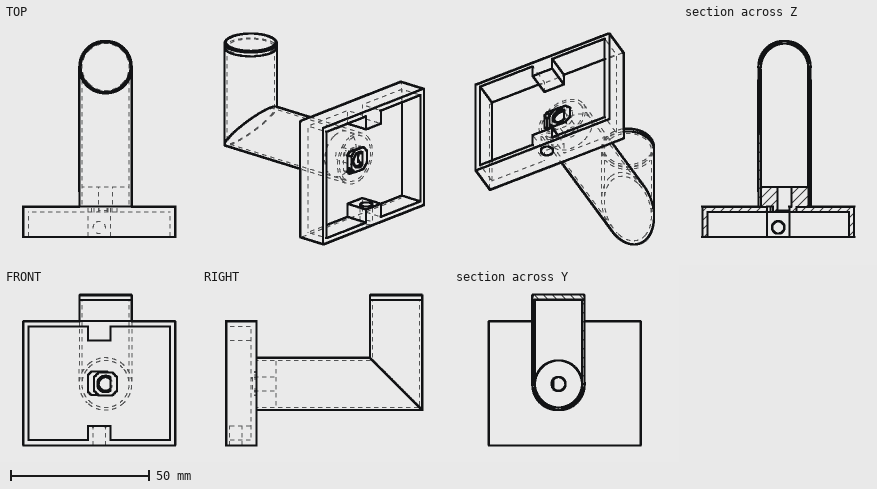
import cadquery as cq

base_width = 55.0
base_depth = 11.0
base_height = 45.0
edge_radius = 0.35
rim = 2.0
plate_thickness = 2.0
pocket_depth = base_depth - plate_thickness
base_mid_x = base_width / 2
base_mid_z = base_height / 2

lug_width = 8.0
lug_height = 5.05
screw_hole_diameter = 4.4
screw_hole_y = 3.5

opening_width = lug_width
opening_height = 8.45
opening_chamfer = 1.15
opening_right_x = base_mid_x + opening_width / 2

tube_radius = 9.5
bore_radius = 8.5
axis_shift_x = 2.3
axis_drop_z = 0.2
axis_x = base_mid_x + axis_shift_x
axis_z = base_mid_z - axis_drop_z
total_depth = 71.0
total_height = 54.75
post_y = total_depth - tube_radius

cap_thickness = 2.0
cap_chamfer = 0.5
post_top = total_height - cap_thickness

plug_length = 7.1
key_size = 8.45
key_chamfer = 1.85
thread_hole_radius = 2.5
countersink = 0.5


def box(x_min, x_max, y_min, y_max, z_min, z_max):
    """Box between the given limits."""
    size = (x_max - x_min, y_max - y_min, z_max - z_min)
    return cq.Workplane().box(*size, centered=False).translate((x_min, y_min, z_min))


def rod_along_y(radius, y_min, y_max):
    """Cylinder on the arm axis."""
    return cq.Workplane(cq.Solid.makeCylinder(
        radius, y_max - y_min, cq.Vector(axis_x, y_min, axis_z), cq.Vector(0, 1, 0)))


def rod_along_z(radius, z_min, z_max):
    """Cylinder on the post axis."""
    return cq.Workplane(cq.Solid.makeCylinder(
        radius, z_max - z_min, cq.Vector(axis_x, post_y, z_min), cq.Vector(0, 0, 1)))


def chamfered_bar(mid_x, mid_z, width, height, chamfer):
    """Bar with chamfered corners, as deep as the plate and lying inside it."""
    bar = box(mid_x - width / 2, mid_x + width / 2, pocket_depth, base_depth,
              mid_z - height / 2, mid_z + height / 2)
    return bar.edges("|Y").chamfer(chamfer)


def key_bar():
    """Square key of the plug, which is also its seat in the plate."""
    return chamfered_bar(axis_x, axis_z, key_size, key_size, key_chamfer)


def make_base():
    base = box(0, base_width, 0, base_depth, 0, base_height).edges("|Y").fillet(edge_radius)
    base = base.cut(box(rim, base_width - rim, 0, pocket_depth, rim, base_height - rim))

    lug_left = base_mid_x - lug_width / 2
    lug_right = base_mid_x + lug_width / 2
    for lug_bottom in (rim, base_height - rim - lug_height):
        base = base.union(box(lug_left, lug_right, 0, pocket_depth, lug_bottom, lug_bottom + lug_height))

    screw_hole = cq.Workplane(cq.Solid.makeCylinder(
        screw_hole_diameter / 2, rim + lug_height, cq.Vector(base_mid_x, screw_hole_y, 0)))
    opening = chamfered_bar(base_mid_x, base_mid_z, opening_width, opening_height, opening_chamfer)
    return base.cut(screw_hole).cut(opening).cut(key_bar())


def miter_wedge():
    """Prism on the post side of the 45 degree plane through the meeting point of both axes."""
    low_y, low_z = total_depth, axis_z - tube_radius
    rise = total_height - low_z
    return (
        cq.Workplane("YZ", origin=(axis_x - tube_radius, 0, 0))
        .polyline([(low_y, low_z), (low_y, low_z + rise), (low_y - rise, low_z + rise)])
        .close()
        .extrude(2 * tube_radius)
    )


def make_arm():
    tube = rod_along_y(tube_radius, base_depth, total_depth)
    tube = tube.cut(rod_along_y(bore_radius, base_depth, total_depth))
    return tube.cut(miter_wedge())


def make_post():
    bottom = axis_z - tube_radius
    tube = rod_along_z(tube_radius, bottom, post_top)
    tube = tube.cut(rod_along_z(bore_radius, bottom, post_top))
    return tube.intersect(miter_wedge())


def make_cap():
    return rod_along_z(tube_radius, post_top, total_height).faces(">Z").chamfer(cap_chamfer)


def make_plug():
    plug_end = base_depth + plug_length
    plug = rod_along_y(bore_radius, base_depth, plug_end).union(key_bar())

    hole = rod_along_y(thread_hole_radius, pocket_depth, plug_end)
    mouth = cq.Workplane(cq.Solid.makeCone(
        thread_hole_radius + countersink, thread_hole_radius, countersink,
        cq.Vector(axis_x, pocket_depth, axis_z), cq.Vector(0, 1, 0)))
    hole = hole.union(mouth)

    flat = box(opening_right_x, opening_right_x + key_size, pocket_depth, base_depth,
               axis_z - key_size / 2, axis_z + key_size / 2)
    return plug.cut(hole.cut(flat))


base = make_base()
arm = make_arm()
post = make_post()
cap = make_cap()
plug = make_plug()

bodies = (base, arm, post, cap, plug)
result = cq.Compound.makeCompound([body.solids().val() for body in bodies])